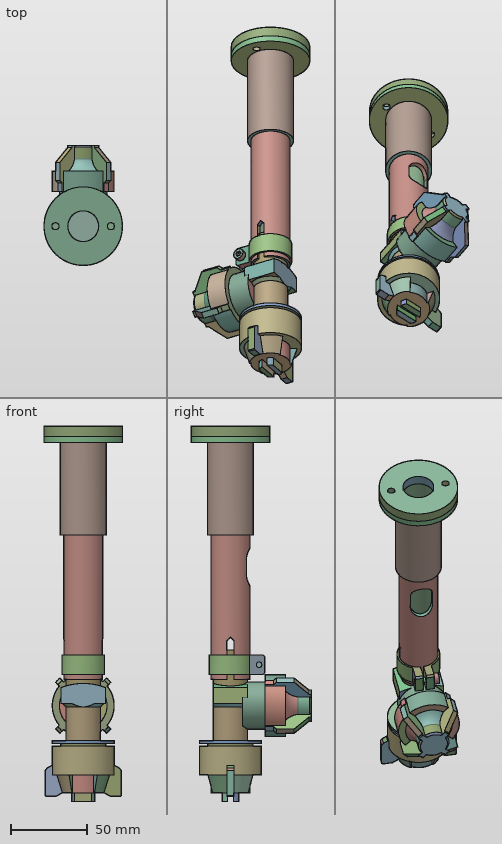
import cadquery as cq
import math

TOTAL_HEIGHT = 244.29
X_SIDE_ANGLES = (0, 180)
Y_SIDE_ANGLES = (90, 270)

DISC_RADIUS = 25.6
DISC_THICKNESS = 6.6
BORE_RADIUS = 10.0
MOUNT_HOLE_RADIUS = 2.3
MOUNT_HOLE_SPACING = 36.0
SLEEVE_RADIUS = 15.0
SLEEVE_FLANGE_THICKNESS = 4.0
SLEEVE_BOTTOM_Z = 173.4
DISC_BOTTOM_Z = TOTAL_HEIGHT - DISC_THICKNESS
SLEEVE_FLANGE_Z = DISC_BOTTOM_Z - SLEEVE_FLANGE_THICKNESS

TUBE_RADIUS = 12.75
TUBE_BOTTOM_Z = 79.6
WINDOW_WIDTH = 14.6
WINDOW_HEIGHT = 24.5
WINDOW_CENTRE_Z = 152.6
SLOT_HALF_WIDTH = 2.3
SLOT_TIP_Z = 107.0

CLAMP_RADIUS = 13.95
CLAMP_BOTTOM_Z = 82.65
CLAMP_HEIGHT = 12.8
EAR_HALF_WIDTH = 6.2
EAR_END_Y = 22.4
EAR_CHAMFER = 1.2
CLAMP_GAP = 2.0
SCREW_Y = 18.6
SCREW_RADIUS = 1.8
SCREW_HEAD_RADIUS = 3.5
SCREW_HEAD_HEIGHT = 3.6
SOCKET_ACROSS_CORNERS = 3.6
SOCKET_DEPTH = 2.0
SCREW_Z = CLAMP_BOTTOM_Z + CLAMP_HEIGHT / 2

CORE_RADIUS = 11.25
CORE_TOP_Z = 98.7
BLOCK_WIDTH = 29.2
BLOCK_BOTTOM_Z = 63.75
BLOCK_EDGE_Z = 74.15
BLOCK_CROWN_Z = 76.9
SKIRT_SIZE = 2.1
BOSS_RADIUS = 15.5
BOSS_START_Y = 7.9
BOSS_END_Y = 22.5
BRANCH_Z = 62.45
PLATE_THICKNESS = 2.0
PLATE_BOTTOM_Z = 37.65

GASKET_RADIUS = 14.8
GASKET_THICKNESS = 1.6

COLLAR_RADIUS = 20.2

COLLAR_TOP_Z = PLATE_BOTTOM_Z - GASKET_THICKNESS
COLLAR_BOTTOM_Z = 17.3
CONE_BOTTOM_Z = 5.65
CONE_TOP_RADIUS = 17.3
CONE_BOTTOM_RADIUS = 13.7
RECESS_FLOOR_RADIUS = 12.8
RECESS_HALF_ANGLE = 32.2
PRONG_RADIUS = 7.75
PRONG_DEPTH = 10.85
PRONG_SLOT_WIDTH = 3.8
WING_THICKNESS = 4.6
WING_RADIUS = 24.8
WING_CHAMFER = 0.6
WING_BOTTOM_Z = 3.35
WING_FOOT_RADIUS = 17.7
WING_SHOULDER_Z = 20.2
WING_CORNER_RADIUS = 23.6
WING_CORNER_Z = 21.8
WING_TOP_RADIUS = 20.8
WING_TOP_Z = 23.4

SIDE_LENGTH = 30.17
SIDE_COLLAR_LENGTH = 13.4
NECK_RADIUS = 10.2
NECK_START = 21.4
NECK_CHAMFER = 1.2
FLARE_RADIUS = 15.5
BLADE_THICKNESS = 4.0
BLADE_RADIUS = 23.5
BLADE_TIP_RADIUS = 12.4
BLADE_TIP_LENGTH = 1.5
BLADE_SHOULDER = 19.0
BLADE_STEP = 7.4
BLADE_ROOT = 5.6
BLADE_ROOT_RADIUS = 21.3
BLADE_ANGLES = (45, 135, 225, 315)


def cylinder(radius, bottom_z, top_z):
    return cq.Workplane("XY").workplane(offset=bottom_z).circle(radius).extrude(top_z - bottom_z)


def block(x_size, y_size, bottom_z, top_z):
    return cq.Workplane("XY").workplane(offset=bottom_z).rect(x_size, y_size).extrude(top_z - bottom_z)


def revolved(profile):
    """Turn a closed wire in the XZ plane about the Z axis."""
    return profile.revolve(360, (0, 0, 0), (0, 1, 0))


def mount_holes():
    return (
        cq.Workplane("XY")
        .workplane(offset=SLEEVE_FLANGE_Z)
        .pushPoints([(-MOUNT_HOLE_SPACING / 2, 0), (MOUNT_HOLE_SPACING / 2, 0)])
        .circle(MOUNT_HOLE_RADIUS)
        .extrude(TOTAL_HEIGHT - SLEEVE_FLANGE_Z)
    )


def make_mounting_disc():
    disc = cylinder(DISC_RADIUS, DISC_BOTTOM_Z, TOTAL_HEIGHT)
    bore = cylinder(BORE_RADIUS, DISC_BOTTOM_Z, TOTAL_HEIGHT)
    return disc.cut(bore).cut(mount_holes())


def make_sleeve():
    sleeve = cylinder(SLEEVE_RADIUS, SLEEVE_BOTTOM_Z, DISC_BOTTOM_Z)
    sleeve = sleeve.union(cylinder(DISC_RADIUS, SLEEVE_FLANGE_Z, DISC_BOTTOM_Z))
    bore = cylinder(TUBE_RADIUS, SLEEVE_BOTTOM_Z, DISC_BOTTOM_Z)
    return sleeve.cut(bore).cut(mount_holes())


def make_tube():
    tube = cylinder(TUBE_RADIUS, TUBE_BOTTOM_Z, DISC_BOTTOM_Z)
    tube = tube.cut(cylinder(BORE_RADIUS, TUBE_BOTTOM_Z, DISC_BOTTOM_Z))
    tube = tube.cut(cylinder(CORE_RADIUS, TUBE_BOTTOM_Z, CORE_TOP_Z))
    window = (
        cq.Workplane("XZ")
        .center(0, WINDOW_CENTRE_Z)
        .slot2D(WINDOW_HEIGHT, WINDOW_WIDTH, 90)
        .extrude(-DISC_RADIUS)
    )
    slot = (
        cq.Workplane("YZ")
        .moveTo(-SLOT_HALF_WIDTH, TUBE_BOTTOM_Z)
        .lineTo(SLOT_HALF_WIDTH, TUBE_BOTTOM_Z)
        .lineTo(SLOT_HALF_WIDTH, SLOT_TIP_Z - SLOT_HALF_WIDTH)
        .lineTo(0, SLOT_TIP_Z)
        .lineTo(-SLOT_HALF_WIDTH, SLOT_TIP_Z - SLOT_HALF_WIDTH)
        .close()
        .extrude(DISC_RADIUS, both=True)
    )
    return tube.cut(window).cut(slot)


def make_clamp_screw():
    """Socket-head screw along X, with its head outside the -X ear."""
    shank = (
        cq.Workplane("YZ", origin=(-EAR_HALF_WIDTH, SCREW_Y, SCREW_Z))
        .circle(SCREW_RADIUS)
        .extrude(2 * EAR_HALF_WIDTH)
    )
    head = (
        cq.Workplane("YZ", origin=(-EAR_HALF_WIDTH - SCREW_HEAD_HEIGHT, SCREW_Y, SCREW_Z))
        .circle(SCREW_HEAD_RADIUS)
        .extrude(SCREW_HEAD_HEIGHT)
    )
    socket = (
        cq.Workplane("YZ", origin=(-EAR_HALF_WIDTH - SCREW_HEAD_HEIGHT, SCREW_Y, SCREW_Z))
        .polygon(6, SOCKET_ACROSS_CORNERS)
        .extrude(SOCKET_DEPTH)
    )
    return shank.union(head).cut(socket)


def make_clamp(screw):
    top_z = CLAMP_BOTTOM_Z + CLAMP_HEIGHT
    ears = (
        block(2 * EAR_HALF_WIDTH, EAR_END_Y, CLAMP_BOTTOM_Z, top_z)
        .translate((0, EAR_END_Y / 2, 0))
        .edges("|X and >Y")
        .chamfer(EAR_CHAMFER)
    )
    gap = block(CLAMP_GAP, EAR_END_Y, CLAMP_BOTTOM_Z, top_z).translate((0, EAR_END_Y / 2, 0))
    clamp = cylinder(CLAMP_RADIUS, CLAMP_BOTTOM_Z, top_z).union(ears)
    return clamp.cut(cylinder(TUBE_RADIUS, CLAMP_BOTTOM_Z, top_z)).cut(gap).cut(screw)


def make_tee():
    core = cylinder(CORE_RADIUS, PLATE_BOTTOM_Z, CORE_TOP_Z)
    plate = cylinder(COLLAR_RADIUS, PLATE_BOTTOM_Z, PLATE_BOTTOM_Z + PLATE_THICKNESS)
    shoulder = (
        cq.Workplane("XZ", origin=(0, CORE_RADIUS, 0))
        .moveTo(-BLOCK_WIDTH / 2, BLOCK_BOTTOM_Z)
        .lineTo(BLOCK_WIDTH / 2, BLOCK_BOTTOM_Z)
        .lineTo(BLOCK_WIDTH / 2, BLOCK_EDGE_Z)
        .threePointArc((0, BLOCK_CROWN_Z), (-BLOCK_WIDTH / 2, BLOCK_EDGE_Z))
        .close()
        .extrude(2 * CORE_RADIUS)
    )
    skirt_bottom_z = BLOCK_BOTTOM_Z - SKIRT_SIZE
    skirt = revolved(
        cq.Workplane("XZ")
        .moveTo(0, skirt_bottom_z)
        .lineTo(CORE_RADIUS, skirt_bottom_z)
        .lineTo(CORE_RADIUS + SKIRT_SIZE, BLOCK_BOTTOM_Z)
        .lineTo(0, BLOCK_BOTTOM_Z)
        .close()
    ).intersect(block(BLOCK_WIDTH, 2 * CORE_RADIUS, skirt_bottom_z, BLOCK_BOTTOM_Z))
    boss = (
        cq.Workplane("XZ", origin=(0, BOSS_START_Y, BRANCH_Z))
        .circle(BOSS_RADIUS)
        .extrude(BOSS_START_Y - BOSS_END_Y)
    )
    return core.union(plate).union(shoulder).union(skirt).union(boss)


def make_gasket():
    return cylinder(GASKET_RADIUS, COLLAR_TOP_Z, PLATE_BOTTOM_Z)


def cone_recess():
    """Sector cut out of the cone down to a round floor, centred on +X."""
    half_width = COLLAR_RADIUS * math.tan(math.radians(RECESS_HALF_ANGLE))
    sector = (
        cq.Workplane("XY")
        .workplane(offset=CONE_BOTTOM_Z)
        .polyline([(0, 0), (COLLAR_RADIUS, -half_width), (COLLAR_RADIUS, half_width)])
        .close()
        .extrude(COLLAR_BOTTOM_Z - CONE_BOTTOM_Z)
    )
    return sector.cut(cylinder(RECESS_FLOOR_RADIUS, CONE_BOTTOM_Z, COLLAR_BOTTOM_Z))


def bottom_wing():
    """Grip wing reaching out along +X."""
    return (
        cq.Workplane("XZ")
        .moveTo(0, CONE_BOTTOM_Z)
        .lineTo(CONE_BOTTOM_RADIUS, CONE_BOTTOM_Z)
        .lineTo(WING_FOOT_RADIUS, WING_BOTTOM_Z)
        .lineTo(WING_RADIUS - WING_CHAMFER, WING_BOTTOM_Z)
        .lineTo(WING_RADIUS, WING_BOTTOM_Z + WING_CHAMFER)
        .lineTo(WING_RADIUS, WING_SHOULDER_Z)
        .lineTo(WING_CORNER_RADIUS, WING_CORNER_Z)
        .lineTo(WING_TOP_RADIUS, WING_TOP_Z)
        .lineTo(0, WING_TOP_Z)
        .close()
        .extrude(WING_THICKNESS / 2, both=True)
    )


def make_bottom_coupling():
    cone = revolved(
        cq.Workplane("XZ")
        .moveTo(0, CONE_BOTTOM_Z)
        .lineTo(CONE_BOTTOM_RADIUS, CONE_BOTTOM_Z)
        .lineTo(CONE_TOP_RADIUS, COLLAR_BOTTOM_Z)
        .lineTo(0, COLLAR_BOTTOM_Z)
        .close()
    )
    for angle in Y_SIDE_ANGLES:
        cone = cone.cut(cone_recess().rotate((0, 0, 0), (0, 0, 1), angle))
    coupling = cylinder(COLLAR_RADIUS, COLLAR_BOTTOM_Z, COLLAR_TOP_Z).union(cone)
    for angle in X_SIDE_ANGLES:
        coupling = coupling.union(bottom_wing().rotate((0, 0, 0), (0, 0, 1), angle))
    prongs = (
        cylinder(PRONG_RADIUS, 0, CONE_BOTTOM_Z)
        .intersect(block(2 * PRONG_RADIUS, PRONG_DEPTH, 0, CONE_BOTTOM_Z))
        .cut(block(2 * PRONG_RADIUS, PRONG_SLOT_WIDTH, 0, CONE_BOTTOM_Z))
    )
    return coupling.union(prongs)


def side_blade():
    """One of the four radial blades, reaching out along +X."""
    return (
        cq.Workplane("XZ")
        .lineTo(BLADE_ROOT_RADIUS, 0)
        .lineTo(BLADE_ROOT_RADIUS, BLADE_ROOT)
        .lineTo(BLADE_RADIUS, BLADE_STEP)
        .lineTo(BLADE_RADIUS, BLADE_SHOULDER)
        .lineTo(BLADE_TIP_RADIUS, SIDE_LENGTH - BLADE_TIP_LENGTH)
        .lineTo(BLADE_TIP_RADIUS, SIDE_LENGTH)
        .lineTo(0, SIDE_LENGTH)
        .close()
        .extrude(BLADE_THICKNESS / 2, both=True)
    )


def make_side_coupling():
    flare_size = FLARE_RADIUS - NECK_RADIUS
    flare_bend = flare_size * (1 - math.sqrt(0.5))
    flare_length = NECK_START - SIDE_COLLAR_LENGTH
    neck = revolved(
        cq.Workplane("XZ")
        .lineTo(FLARE_RADIUS, 0)
        .lineTo(FLARE_RADIUS, SIDE_COLLAR_LENGTH)
        .threePointArc(
            (NECK_RADIUS + flare_bend, SIDE_COLLAR_LENGTH + flare_length / 2),
            (NECK_RADIUS, NECK_START),
        )
        .lineTo(NECK_RADIUS, SIDE_LENGTH - NECK_CHAMFER)
        .lineTo(NECK_RADIUS - NECK_CHAMFER, SIDE_LENGTH)
        .lineTo(0, SIDE_LENGTH)
        .close()
    )
    coupling = cylinder(COLLAR_RADIUS, 0, SIDE_COLLAR_LENGTH).union(neck)
    for angle in BLADE_ANGLES:
        coupling = coupling.union(side_blade().rotate((0, 0, 0), (0, 0, 1), angle))
    return coupling.rotate((0, 0, 0), (1, 0, 0), -90).translate((0, BOSS_END_Y, BRANCH_Z))


mounting_disc = make_mounting_disc()
sleeve = make_sleeve()
tube = make_tube()
clamp_screw = make_clamp_screw()
clamp = make_clamp(clamp_screw)
tee = make_tee()
gasket = make_gasket()
bottom_coupling = make_bottom_coupling()
side_coupling = make_side_coupling()

bodies = [mounting_disc, sleeve, tube, clamp_screw, clamp, tee, gasket, bottom_coupling, side_coupling]
result = cq.Compound.makeCompound([body.val() for body in bodies])